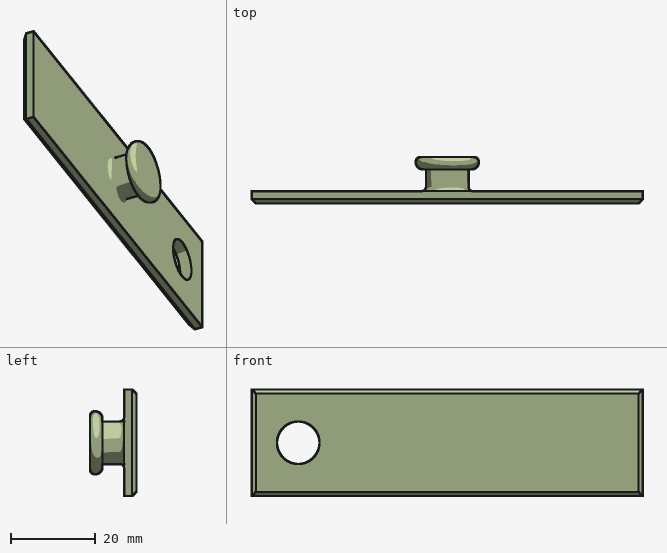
import cadquery as cq
import math

plate_length = 92.2
plate_height = 25.2
plate_thickness = 2.95
plate_bevel = 1.0

hole_diameter = 10.0
hole_from_end = 11.0

total_depth = 11.0
stem_diameter = 10.1
stem_root_fillet = 0.9
head_diameter = 14.9
head_outer_fillet = 1.2
head_inner_fillet = 1.75
head_thickness = head_outer_fillet + head_inner_fillet

head_start = total_depth - head_thickness

arc_mid_inset = 1 - math.sqrt(0.5)


def disc(diameter, start, end):
    """Round bar along +Y between two Y positions, centred on the plate."""
    return (
        cq.Workplane("XZ", origin=(0, start, 0))
        .circle(diameter / 2)
        .extrude(start - end)
    )


def make_plate():
    """Rectangular plate with a bevelled front rim and one through hole."""
    plate = (
        cq.Workplane("XY")
        .box(plate_length, plate_thickness, plate_height, centered=(True, False, True))
        .faces("<Y")
        .chamfer(plate_bevel)
    )
    hole_x = hole_from_end - plate_length / 2
    hole = disc(hole_diameter, 0, plate_thickness).translate((hole_x, 0, 0))
    return plate.cut(hole)


def make_head():
    """Knob head whose two rounded rims meet at its widest circle."""
    head_radius = head_diameter / 2
    widest = total_depth - head_outer_fillet
    inner_mid = head_inner_fillet * arc_mid_inset
    outer_mid = head_outer_fillet * arc_mid_inset
    return (
        cq.Workplane("XY")
        .moveTo(0, head_start)
        .lineTo(head_radius - head_inner_fillet, head_start)
        .threePointArc(
            (head_radius - inner_mid, head_start + inner_mid),
            (head_radius, widest),
        )
        .threePointArc(
            (head_radius - outer_mid, total_depth - outer_mid),
            (head_radius - head_outer_fillet, total_depth),
        )
        .lineTo(0, total_depth)
        .close()
        .revolve(360, (0, 0, 0), (0, 1, 0))
    )


def make_root_fillet():
    """Concave ring blending the stem into the back of the plate."""
    stem_radius = stem_diameter / 2
    root_end = plate_thickness + stem_root_fillet
    mid_offset = stem_root_fillet * arc_mid_inset
    return (
        cq.Workplane("XY")
        .moveTo(0, plate_thickness)
        .lineTo(stem_radius + stem_root_fillet, plate_thickness)
        .threePointArc(
            (stem_radius + mid_offset, plate_thickness + mid_offset),
            (stem_radius, root_end),
        )
        .lineTo(0, root_end)
        .close()
        .revolve(360, (0, 0, 0), (0, 1, 0))
    )


stem = disc(stem_diameter, plate_thickness, head_start)
result = make_plate().union(make_root_fillet()).union(stem).union(make_head())